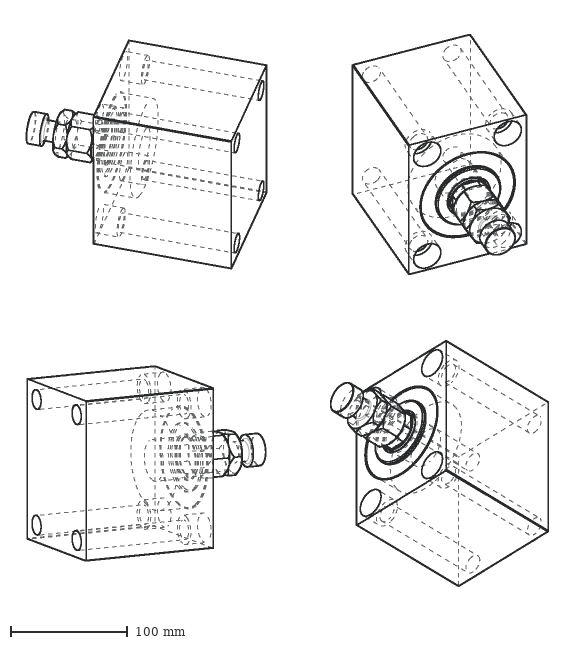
import cadquery as cq
import math


chamfer_angle = 45
overall_length = 195

block_length = 123.0
block_width = 110.0
block_height = 140.0
block_edge_chamfer = 0.5

bolt_spacing_y = 75.0
bolt_spacing_z = 110.0
bolt_hole_diameter = 17.0
counterbore_diameter = 25.4
counterbore_depth = 19.5

gland_diameter = 87.0
gland_depth = 29.2
gland_seat_chamfer = 1.0
boss_diameter = 60.0
boss_height = 3.1
boss_chamfer = 1.2
wiper_diameter = 40.0
wiper_depth = 2

rod_diameter = 36.0
rod_end_diameter = 35.1
rod_end_x = -13.0
flats_length = 8.4
flats_across = 32.0

hex_across_flats = 36.0
lock_hex_length = 22.0
front_hex_length = 12.0
neck_diameter = 18.1
neck_head_fillet = 2
neck_hex_fillet = 1.2
head_diameter = 28.0
head_length = 12.0
head_chamfer = 0.4
coupling_length = overall_length - block_length + rod_end_x
neck_length = coupling_length - lock_hex_length - front_hex_length - head_length


def rod_cylinder(diameter, start_x, end_x):
    """Cylinder on the rod axis between two X positions."""
    return cq.Workplane("YZ", origin=(start_x, 0, 0)).circle(diameter / 2).extrude(end_x - start_x)


def bolt_pattern_cylinders(diameter, depth):
    """Four cylinders going into the block from its front face, one at each bolt position."""
    return (
        cq.Workplane("YZ")
        .rect(bolt_spacing_y, bolt_spacing_z, forConstruction=True)
        .vertices()
        .circle(diameter / 2)
        .extrude(depth)
    )


def make_block():
    block = (
        cq.Workplane("YZ")
        .rect(block_width, block_height)
        .extrude(block_length)
        .edges("|X")
        .chamfer(block_edge_chamfer)
    )
    gland_seat = rod_cylinder(gland_diameter, 0, gland_depth)
    seat_bevel = (
        cq.Workplane("YZ")
        .circle(gland_diameter / 2 + gland_seat_chamfer)
        .extrude(gland_seat_chamfer, taper=chamfer_angle)
    )
    bolt_holes = bolt_pattern_cylinders(bolt_hole_diameter, block_length)
    counterbores = bolt_pattern_cylinders(counterbore_diameter, counterbore_depth)
    return block.cut(gland_seat).cut(seat_bevel).cut(bolt_holes).cut(counterbores)


def make_gland():
    boss = rod_cylinder(boss_diameter, -boss_height, 0).faces("<X").chamfer(boss_chamfer)
    wiper_recess = rod_cylinder(wiper_diameter, -boss_height, wiper_depth - boss_height)
    rod_bore = rod_cylinder(rod_diameter, -boss_height, gland_depth)
    return rod_cylinder(gland_diameter, 0, gland_depth).union(boss).cut(wiper_recess).cut(rod_bore)


def make_rod():
    shoulder_x = rod_end_x + flats_length
    shoulder_chamfer = (rod_diameter - rod_end_diameter) / 2
    rod = rod_cylinder(rod_diameter, shoulder_x, gland_depth).faces("<X").chamfer(shoulder_chamfer)
    round_end = rod_cylinder(rod_end_diameter, rod_end_x, shoulder_x)
    square_end = (
        cq.Workplane("YZ", origin=(rod_end_x, 0, 0)).rect(flats_across, flats_across).extrude(flats_length)
    )
    return rod.union(round_end.intersect(square_end))


def make_hex(start_x, length):
    """Hexagon with corners on the Y axis, both ends turned down to the across-flats circle."""
    corner_diameter = hex_across_flats / math.cos(math.radians(30))
    corner_height = (corner_diameter - hex_across_flats) / 2
    hexagon = cq.Workplane("YZ", origin=(start_x, 0, 0)).polygon(6, corner_diameter).extrude(length)
    turned_blank = (
        rod_cylinder(corner_diameter, start_x, start_x + length)
        .faces("<X or >X")
        .chamfer(corner_height)
    )
    return hexagon.intersect(turned_blank)


def make_coupling():
    lock_hex_x = rod_end_x - lock_hex_length
    front_hex_x = lock_hex_x - front_hex_length
    head_back_x = front_hex_x - neck_length
    lock_hex = make_hex(lock_hex_x, lock_hex_length)
    front_hex = make_hex(front_hex_x, front_hex_length)

    neck_radius = neck_diameter / 2
    head_radius = head_diameter / 2
    head_x = head_back_x - head_length
    arc_mid = 1 - math.sqrt(0.5)
    pin = (
        cq.Workplane("XY")
        .moveTo(head_x, 0)
        .lineTo(head_x, head_radius - head_chamfer)
        .lineTo(head_x + head_chamfer, head_radius)
        .lineTo(head_back_x, head_radius)
        .lineTo(head_back_x, neck_radius + neck_head_fillet)
        .threePointArc(
            (head_back_x + arc_mid * neck_head_fillet, neck_radius + arc_mid * neck_head_fillet),
            (head_back_x + neck_head_fillet, neck_radius),
        )
        .lineTo(front_hex_x - neck_hex_fillet, neck_radius)
        .threePointArc(
            (front_hex_x - arc_mid * neck_hex_fillet, neck_radius + arc_mid * neck_hex_fillet),
            (front_hex_x, neck_radius + neck_hex_fillet),
        )
        .lineTo(front_hex_x, 0)
        .close()
        .revolve(360, (0, 0, 0), (1, 0, 0))
    )
    return pin.union(front_hex).union(lock_hex)


block = make_block()
gland = make_gland()
rod = make_rod()
coupling = make_coupling()

result = cq.Compound.makeCompound([block.val(), gland.val(), rod.val(), coupling.val()])